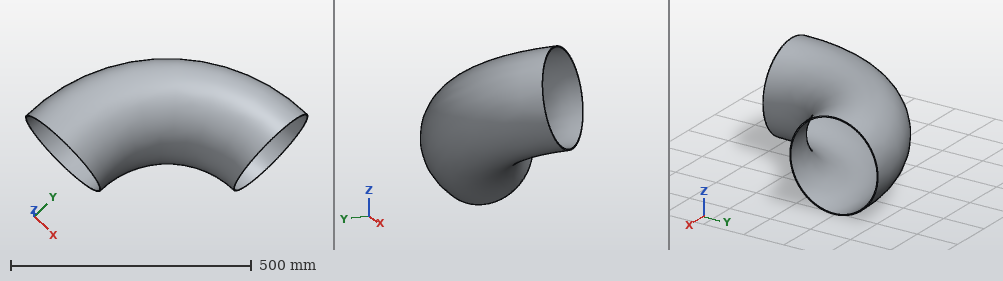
import cadquery as cq

overall_length = 414.5
outer_diameter = 219.5
wall_thickness = 2.6
bend_angle = 90.0

outer_radius = outer_diameter / 2
inner_radius = outer_radius - wall_thickness
bend_radius = overall_length - outer_radius


def pipe_elbow():
    """Sweep the pipe's ring section about the vertical bend axis at the origin."""
    ring = (
        cq.Workplane("XZ")
        .center(-bend_radius, 0)
        .circle(outer_radius)
        .circle(inner_radius)
    )
    axis_start = (bend_radius, 0)
    axis_end = (bend_radius, -1)
    return ring.revolve(bend_angle, axis_start, axis_end)


result = pipe_elbow()